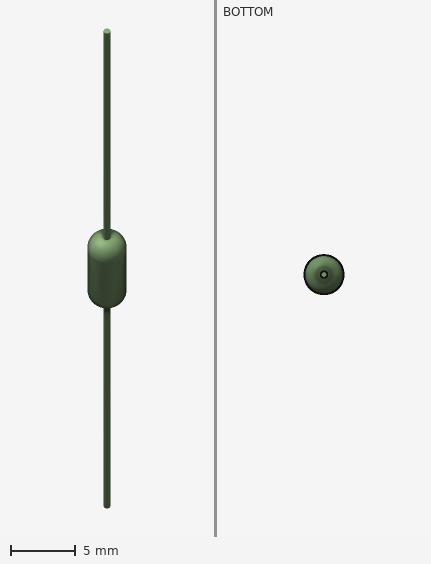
import cadquery as cq

body_diameter = 3.05
body_length = 7.62
end_fillet_radius = 1.2
lead_diameter = 0.508
overall_length = 58.42


def centred_cylinder(diameter, length):
    """Cylinder along Z, centred on the origin."""
    return cq.Workplane("XY").cylinder(length, diameter / 2)


def make_body():
    """Cylindrical body with both end edges rounded."""
    return centred_cylinder(body_diameter, body_length).edges("%CIRCLE").fillet(end_fillet_radius)


def make_leads():
    """One wire through the body, so that both leads share the axis."""
    return centred_cylinder(lead_diameter, overall_length)


result = make_body().union(make_leads())